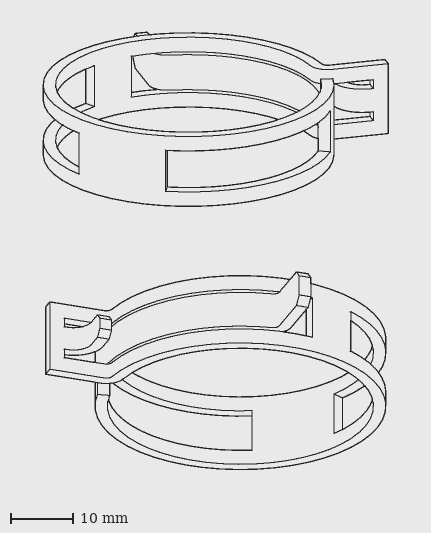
import cadquery as cq
import math


INNER_RADIUS = 21.3
THICKNESS = 2.0
OUTER_RADIUS = INNER_RADIUS + THICKNESS
BAND_HEIGHT = 12.0

RAIL_WIDTH = 2.5
SLOT_HEIGHT = BAND_HEIGHT - 2 * RAIL_WIDTH
WINDOW_TOP_ANGLE = 15.9
WINDOW_BOTTOM_ANGLE = -70.1

LUG_ANGLE = 45.0
LUG_TIP_DISTANCE = 33.35
LUG_OFFSET = 0.25
LUG_BEND_RADIUS = 1.0
PAD_END_ANGLE = 35.6
SLOT_START_ANGLE = 180.0 - PAD_END_ANGLE
SLOT_END_DISTANCE = LUG_TIP_DISTANCE - RAIL_WIDTH

TONGUE_HEIGHT = 6.0
TONGUE_CHAMFER = 1.3

HOOK_WIDTH = 4.0
HOOK_CHAMFER = 1.1
HOOK_BEND_RADIUS = 3.0
HOOK_FACE_DISTANCE = 27.4
HOOK_TIP_OFFSET = 9.25

OVERLAP = 0.5


def polar(radius, angle):
    """Point at a radius and angle around the clamp axis."""
    turn = math.radians(angle)
    return (radius * math.cos(turn), radius * math.sin(turn))


def lug_point(along, offset):
    """Point along the right lug direction, offset toward the top of the clamp."""
    turn = math.radians(LUG_ANGLE)
    return (
        along * math.cos(turn) - offset * math.sin(turn),
        along * math.sin(turn) + offset * math.cos(turn),
    )


def extrude_centered(outline, height):
    """Extrude a closed XY outline to equal depths above and below Z = 0."""
    return outline.close().extrude(height / 2, both=True)


def bent_strip(start_angle, lug_end, height):
    """Strip running clockwise from start_angle and turning out into the right lug."""
    upper_offset = LUG_OFFSET + THICKNESS
    bend_offset = upper_offset + LUG_BEND_RADIUS
    bend_reach = OUTER_RADIUS + LUG_BEND_RADIUS
    bend_turn = math.degrees(math.asin(bend_offset / bend_reach))
    bend_along = bend_reach * math.cos(math.radians(bend_turn))
    tangent_angle = LUG_ANGLE + bend_turn
    middle_angle = (start_angle + tangent_angle) / 2

    bend_middle_turn = math.radians((bend_turn + 90) / 2)

    def bend_middle(radius):
        return lug_point(
            bend_along - radius * math.cos(bend_middle_turn),
            bend_offset - radius * math.sin(bend_middle_turn),
        )

    outline = (
        cq.Workplane("XY")
        .moveTo(*polar(OUTER_RADIUS, start_angle))
        .threePointArc(polar(OUTER_RADIUS, middle_angle), polar(OUTER_RADIUS, tangent_angle))
        .threePointArc(bend_middle(LUG_BEND_RADIUS), lug_point(bend_along, upper_offset))
        .lineTo(*lug_point(lug_end, upper_offset))
        .lineTo(*lug_point(lug_end, LUG_OFFSET))
        .lineTo(*lug_point(bend_along, LUG_OFFSET))
        .threePointArc(bend_middle(LUG_BEND_RADIUS + THICKNESS), polar(INNER_RADIUS, tangent_angle))
        .threePointArc(polar(INNER_RADIUS, middle_angle), polar(INNER_RADIUS, start_angle))
    )
    return extrude_centered(outline, height)


def right_window():
    """Cutter for the window on the +X side, with radial end walls."""
    cut_inner = INNER_RADIUS - THICKNESS
    cut_outer = OUTER_RADIUS + THICKNESS
    middle_angle = (WINDOW_TOP_ANGLE + WINDOW_BOTTOM_ANGLE) / 2
    outline = (
        cq.Workplane("XY")
        .moveTo(*polar(cut_inner, WINDOW_TOP_ANGLE))
        .lineTo(*polar(cut_outer, WINDOW_TOP_ANGLE))
        .threePointArc(polar(cut_outer, middle_angle), polar(cut_outer, WINDOW_BOTTOM_ANGLE))
        .lineTo(*polar(cut_inner, WINDOW_BOTTOM_ANGLE))
        .threePointArc(polar(cut_inner, middle_angle), polar(cut_inner, WINDOW_TOP_ANGLE))
    )
    return extrude_centered(outline, SLOT_HEIGHT)


def slotted_band():
    """Full-height band with its side windows and the slot between the rails."""
    band = bent_strip(PAD_END_ANGLE + 360.0, LUG_TIP_DISTANCE, BAND_HEIGHT)
    window = right_window()
    slot = bent_strip(SLOT_START_ANGLE, SLOT_END_DISTANCE, SLOT_HEIGHT)
    return band.cut(window).cut(window.mirror("YZ")).cut(slot)


def chamfer_tip(strip, tip_middle, chamfer):
    """Chamfer the two through-thickness edges of the end face nearest tip_middle."""
    tip = strip.faces(cq.selectors.NearestToPointSelector((*tip_middle, 0)))
    return tip.edges("#Z").chamfer(chamfer)


def tongue():
    """Narrow end of the strip, passing through the slot to the left lug."""
    strip = bent_strip(SLOT_START_ANGLE, LUG_TIP_DISTANCE, TONGUE_HEIGHT)
    tip_middle = lug_point(LUG_TIP_DISTANCE, LUG_OFFSET + THICKNESS / 2)
    return chamfer_tip(strip, tip_middle, TONGUE_CHAMFER).mirror("YZ")


def hook():
    """Retaining hook turning a quarter circle from the lug plane to its free leg."""
    upper_offset = LUG_OFFSET + THICKNESS
    inner_face = HOOK_FACE_DISTANCE - THICKNESS
    bend_along = HOOK_FACE_DISTANCE + HOOK_BEND_RADIUS
    bend_offset = upper_offset + HOOK_BEND_RADIUS
    root = SLOT_END_DISTANCE + OVERLAP
    outer_bend_radius = HOOK_BEND_RADIUS + THICKNESS
    diagonal = math.sqrt(0.5)

    def bend_middle(radius):
        return lug_point(bend_along - radius * diagonal, bend_offset - radius * diagonal)

    outline = (
        cq.Workplane("XY")
        .moveTo(*lug_point(root, upper_offset))
        .lineTo(*lug_point(bend_along, upper_offset))
        .threePointArc(bend_middle(HOOK_BEND_RADIUS), lug_point(HOOK_FACE_DISTANCE, bend_offset))
        .lineTo(*lug_point(HOOK_FACE_DISTANCE, HOOK_TIP_OFFSET))
        .lineTo(*lug_point(inner_face, HOOK_TIP_OFFSET))
        .lineTo(*lug_point(inner_face, bend_offset))
        .threePointArc(bend_middle(outer_bend_radius), lug_point(bend_along, LUG_OFFSET))
        .lineTo(*lug_point(root, LUG_OFFSET))
    )
    strip = extrude_centered(outline, HOOK_WIDTH)
    tip_middle = lug_point(inner_face + THICKNESS / 2, HOOK_TIP_OFFSET)
    return chamfer_tip(strip, tip_middle, HOOK_CHAMFER)


result = slotted_band().union(tongue()).union(hook())